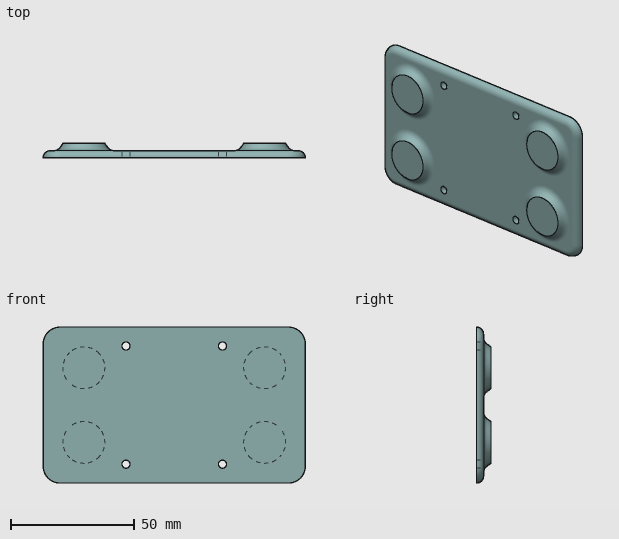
import cadquery as cq
import math

plate_width = 106.6
plate_height = 63.5
plate_thickness = 3.0
corner_radius = 7.0
edge_land = 0.001
edge_fillet = plate_thickness - edge_land

hole_diameter = 3.2
hole_spacing_x = 39.2
hole_spacing_z = 48.0

overall_depth = 6.0
boss_inset = 16.6
boss_top_diameter = 17.0
boss_taper_height = 1.6
boss_taper_angle = 35.0

boss_spacing_x = plate_width - 2 * boss_inset
boss_spacing_z = plate_height - 2 * boss_inset


def make_plate():
    """Plate with rounded corners and its back edge rounded over almost the full thickness."""
    slab = (
        cq.Workplane("XY")
        .box(plate_width, plate_thickness, plate_height, centered=(True, False, True))
        .edges("|Y")
        .fillet(corner_radius)
    )
    return slab.faces(">Y").edges().fillet(edge_fillet)


def make_boss():
    """Solid of revolution about Y: a conical top that flares into the plate through a tangent arc."""
    taper = math.radians(boss_taper_angle)
    top_radius = boss_top_diameter / 2
    taper_end_radius = top_radius + boss_taper_height * math.tan(taper)
    taper_end_y = overall_depth - boss_taper_height

    flare_height = taper_end_y - plate_thickness
    flare_radius = flare_height / (1 - math.sin(taper))
    flare_center_radius = taper_end_radius + flare_radius * math.cos(taper)
    flare_center_y = plate_thickness + flare_radius
    middle_angle = (taper + math.pi / 2) / 2
    flare_middle = (
        flare_center_radius - flare_radius * math.cos(middle_angle),
        flare_center_y - flare_radius * math.sin(middle_angle),
    )

    root_y = plate_thickness / 2
    return (
        cq.Workplane("XY")
        .moveTo(0, root_y)
        .lineTo(0, overall_depth)
        .lineTo(top_radius, overall_depth)
        .lineTo(taper_end_radius, taper_end_y)
        .threePointArc(flare_middle, (flare_center_radius, plate_thickness))
        .lineTo(flare_center_radius, root_y)
        .close()
        .revolve(360, (0, 0, 0), (0, 1, 0))
    )


def make_hole():
    """Cutting cylinder along Y, through the plate."""
    return cq.Workplane("XZ").circle(hole_diameter / 2).extrude(-overall_depth)


def corner_positions(spacing_x, spacing_z):
    """Four points of a rectangle centred on the plate."""
    return [(sx * spacing_x / 2, sz * spacing_z / 2) for sx in (-1, 1) for sz in (-1, 1)]


result = make_plate()

boss = make_boss()
for x, z in corner_positions(boss_spacing_x, boss_spacing_z):
    result = result.union(boss.translate((x, 0, z)))

hole = make_hole()
for x, z in corner_positions(hole_spacing_x, hole_spacing_z):
    result = result.cut(hole.translate((x, 0, z)))